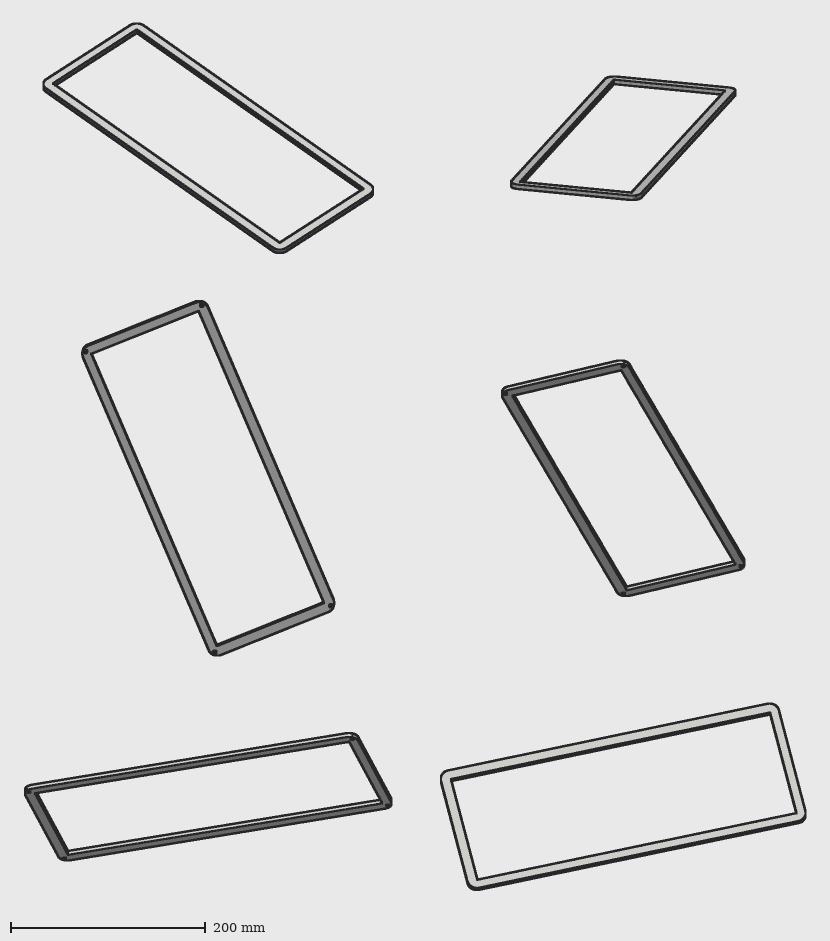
import cadquery as cq

length = 356.47
width = 139.04
thickness = 5.0
corner_radius = 10.0

rail_width = 10.0
window_shift_x = -0.52
window_shift_y = 0.5
window_length = length - 2 * rail_width
window_width = width - 2 * rail_width

relief_height = 3.0
relief_depth = 0.1

hole_diameter = 3.4
hole_depth = 3.0
hole_inset = 5.0


def frame_plate():
    """Flat plate with rounded vertical corners, resting on Z = 0."""
    plate = cq.Workplane("XY").box(length, width, thickness, centered=(True, True, False))
    return plate.edges("|Z").fillet(corner_radius)


def window_block(height, extra_y=0.0):
    """Block filling the window from Z = 0 up to height, widened by extra_y on its +Y side."""
    return (
        cq.Workplane("XY")
        .center(window_shift_x, window_shift_y + extra_y / 2)
        .rect(window_length, window_width + extra_y)
        .extrude(height)
    )


def screw_holes():
    """Four upright cylinders, one near each outer corner."""
    return (
        cq.Workplane("XY")
        .rect(length - 2 * hole_inset, width - 2 * hole_inset, forConstruction=True)
        .vertices()
        .circle(hole_diameter / 2)
        .extrude(hole_depth)
    )


frame = frame_plate().cut(window_block(thickness))
frame = frame.cut(window_block(relief_height, relief_depth))
result = frame.cut(screw_holes())